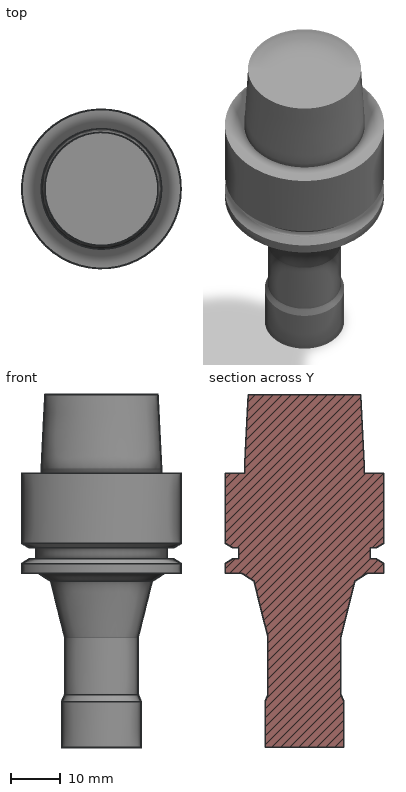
import cadquery as cq

shank_end_diameter = 16.0
neck_diameter = 14.8
cone_top_diameter = 20.4
flare_top_diameter = 25.3
collar_diameter = 32.0
groove_diameter = 26.5
groove_lip_diameter = 28.8
spigot_base_diameter = 24.2
spigot_top_diameter = 22.7

shank_end_height = 9.2
neck_bottom = 10.65
neck_top = 22.2
cone_top = 33.45
flange_bottom = 35.0
flange_edge_top = 37.0
groove_bottom = 38.0
groove_top = 40.1
collar_edge_bottom = 41.05
collar_top = 55.2
taper_bottom = 56.0
total_height = 71.0

shank_corners = [
    (shank_end_diameter, 0),
    (shank_end_diameter, shank_end_height),
    (neck_diameter, neck_bottom),
    (neck_diameter, neck_top),
    (cone_top_diameter, cone_top),
    (flare_top_diameter, flange_bottom),
]
collar_corners = [
    (collar_diameter, flange_bottom),
    (collar_diameter, flange_edge_top),
    (groove_lip_diameter, groove_bottom),
    (groove_diameter, groove_bottom),
    (groove_diameter, groove_top),
    (groove_lip_diameter, groove_top),
    (collar_diameter, collar_edge_bottom),
    (collar_diameter, collar_top),
]
spigot_corners = [
    (spigot_base_diameter, collar_top),
    (spigot_base_diameter, taper_bottom),
    (spigot_top_diameter, total_height),
]


def turned_body(corners):
    """Revolve a half profile, closed along the Z axis, into a solid."""
    top = corners[-1][1]
    bottom = corners[0][1]
    outline = [(diameter / 2, height) for diameter, height in corners]
    profile = [(0, bottom)] + outline + [(0, top)]
    return cq.Workplane("XZ").polyline(profile).close().revolve(360, (0, 0, 0), (0, 1, 0))


result = turned_body(shank_corners + collar_corners + spigot_corners)